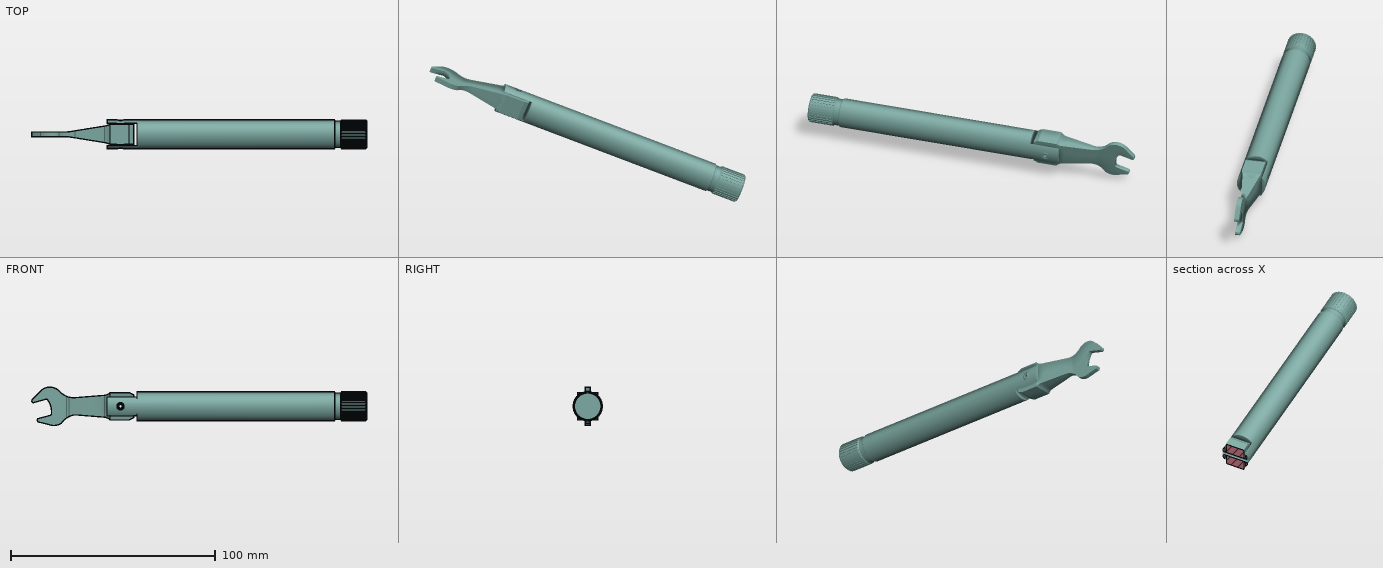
import cadquery as cq

TOTAL_LENGTH = 164.0

HANDLE_DIAMETER = 14.3
HANDLE_START = 36.9
HANDLE_END = 148.5
HANDLE_CHAMFER = 0.3
SLOT_WIDTH = 10.8
SLOT_END = 51.5

NECK_DIAMETER = 13.1
NECK_OVERLAP = 1.6
KNOB_START = 151.1
KNOB_CHAMFER = 0.7
KNURL_COUNT = 30
KNURL_WIDTH = 0.7
KNURL_DEPTH = 0.3

HEAD_THICKNESS = 2.5
HEAD_HEIGHT = 18.9
UPPER_TIP_OUTER = (0.2, 3.3)
UPPER_TIP_END = (0.0, 2.3)
UPPER_TIP_INNER = (0.7, 1.6)
UPPER_LOBE_START = (4.5, 7.5)
UPPER_SHOULDER = (13.5, 7.5)
UPPER_NECK = (17.0, 5.0)
LOWER_NECK = (17.7, -5.4)
LOWER_SHOULDER = (14.6, -8.4)
LOWER_LOBE_BOTTOM = (11.5, -HEAD_HEIGHT / 2)
LOWER_LOBE_START = (8.5, -9.0)
LOWER_TIP_OUTER = (3.1, -7.7)
LOWER_TIP_END = (2.6, -6.9)
LOWER_TIP_INNER = (3.1, -5.7)

JAW_WIDTH = 8.0
JAW_DEPTH = 16.4
JAW_TILT = 15.0
JAW_FLOOR_CENTRE = (9.4, -0.2)
JAW_FLOOR_BULGE = 0.8
JAW_CORNER_RADIUS = 0.8

TAPER_START = 17.0
TAPER_BLEND_END = 18.4
TAPER_BLEND_HALF_WIDTH = 1.3
ARM_START = 21.3
ARM_START_HALF_HEIGHT = 4.3
ARM_END = 35.8
ARM_END_HALF_HEIGHT = 5.4
ARM_END_HALF_WIDTH = 4.1
FLARE_MIDDLE = (37.4, -5.9)

BLOCK_START = 38.4
BLOCK_END = 50.0
BLOCK_HALF_HEIGHT = 6.7
BLOCK_HALF_WIDTH = 5.0
BLOCK_BEVEL_LENGTH = 2.3
BLOCK_BEVEL_DROP = 1.1

PIN_X = 43.5
PIN_DIAMETER = 3.6
PIN_BORE = 1.6
PIN_CHAMFER = 0.5
PIN_LENGTH = 13.8


def x_cylinder(diameter, start, end):
    return cq.Workplane("YZ").workplane(offset=start).circle(diameter / 2).extrude(end - start)


def pin_cylinder(diameter, length):
    return cq.Workplane("XZ").center(PIN_X, 0).circle(diameter / 2).extrude(length / 2, both=True)


def make_handle():
    bar = x_cylinder(HANDLE_DIAMETER, HANDLE_START, HANDLE_END).faces(">X").chamfer(HANDLE_CHAMFER)
    slot_length = SLOT_END - HANDLE_START
    slot = cq.Workplane("XY").box(slot_length, SLOT_WIDTH, HANDLE_DIAMETER)
    return bar.cut(slot.translate((HANDLE_START + slot_length / 2, 0, 0)))


def make_knob():
    knob = x_cylinder(HANDLE_DIAMETER, KNOB_START, TOTAL_LENGTH)
    knob = knob.faces("<X or >X").chamfer(KNOB_CHAMFER)
    length = TOTAL_LENGTH - KNOB_START
    groove = cq.Workplane("XY").box(length, 2 * KNURL_DEPTH, KNURL_WIDTH)
    groove = groove.translate((KNOB_START + length / 2, HANDLE_DIAMETER / 2, 0))
    for i in range(KNURL_COUNT):
        knob = knob.cut(groove.rotate((0, 0, 0), (1, 0, 0), i * 360 / KNURL_COUNT))
    neck = x_cylinder(NECK_DIAMETER, HANDLE_END - NECK_OVERLAP, KNOB_START + NECK_OVERLAP)
    return knob.union(neck)


def make_side_profile():
    """Head, arm and block outline in X and Z, extruded wider than the wrench."""
    bevel_start = BLOCK_END - BLOCK_BEVEL_LENGTH
    end_half_height = BLOCK_HALF_HEIGHT - BLOCK_BEVEL_DROP
    return (
        cq.Workplane("XZ")
        .moveTo(*UPPER_TIP_OUTER)
        .lineTo(*UPPER_LOBE_START)
        .tangentArcPoint(UPPER_SHOULDER, relative=False)
        .threePointArc(UPPER_NECK, (ARM_START, ARM_START_HALF_HEIGHT))
        .lineTo(ARM_END, ARM_END_HALF_HEIGHT)
        .tangentArcPoint((BLOCK_START, BLOCK_HALF_HEIGHT), relative=False)
        .lineTo(bevel_start, BLOCK_HALF_HEIGHT)
        .lineTo(BLOCK_END, end_half_height)
        .lineTo(BLOCK_END, -end_half_height)
        .lineTo(bevel_start, -BLOCK_HALF_HEIGHT)
        .lineTo(BLOCK_START, -BLOCK_HALF_HEIGHT)
        .threePointArc(FLARE_MIDDLE, (ARM_END, -ARM_END_HALF_HEIGHT))
        .lineTo(ARM_START, -ARM_START_HALF_HEIGHT)
        .threePointArc(LOWER_NECK, LOWER_SHOULDER)
        .threePointArc(LOWER_LOBE_BOTTOM, LOWER_LOBE_START)
        .lineTo(*LOWER_TIP_OUTER)
        .lineTo(*LOWER_TIP_END)
        .lineTo(*LOWER_TIP_INNER)
        .lineTo(*UPPER_TIP_INNER)
        .lineTo(*UPPER_TIP_END)
        .close()
        .extrude(HANDLE_DIAMETER, both=True)
    )


def make_plan_profile():
    """Head, arm and block outline in X and Y, extruded taller than the wrench."""
    half = (
        cq.Workplane("XY")
        .lineTo(0, HEAD_THICKNESS / 2)
        .lineTo(TAPER_START, HEAD_THICKNESS / 2)
        .tangentArcPoint((TAPER_BLEND_END, TAPER_BLEND_HALF_WIDTH), relative=False)
        .lineTo(ARM_END, ARM_END_HALF_WIDTH)
        .tangentArcPoint((BLOCK_START, BLOCK_HALF_WIDTH), relative=False)
        .lineTo(BLOCK_END, BLOCK_HALF_WIDTH)
        .lineTo(BLOCK_END, 0)
        .close()
        .extrude(HANDLE_DIAMETER, both=True)
    )
    return half.union(half.mirror("XZ"))


def make_jaw_opening():
    half_width = JAW_WIDTH / 2
    opening = (
        cq.Workplane("XZ")
        .moveTo(-JAW_DEPTH, half_width)
        .lineTo(-JAW_FLOOR_BULGE, half_width)
        .threePointArc((0, 0), (-JAW_FLOOR_BULGE, -half_width))
        .lineTo(-JAW_DEPTH, -half_width)
        .close()
        .extrude(HEAD_THICKNESS, both=True)
        .edges("|Y and (not <X)")
        .fillet(JAW_CORNER_RADIUS)
    )
    floor_x, floor_z = JAW_FLOOR_CENTRE
    return opening.rotate((0, 0, 0), (0, 1, 0), -JAW_TILT).translate((floor_x, 0, floor_z))


wrench = make_side_profile().intersect(make_plan_profile()).cut(make_jaw_opening())
pin = pin_cylinder(PIN_DIAMETER, PIN_LENGTH).faces("<Y or >Y").chamfer(PIN_CHAMFER)
pin_hole = pin_cylinder(PIN_DIAMETER, HANDLE_DIAMETER)
pin_bore = pin_cylinder(PIN_BORE, HANDLE_DIAMETER)

result = make_handle().union(make_knob()).union(wrench)
result = result.cut(pin_hole).union(pin).cut(pin_bore)